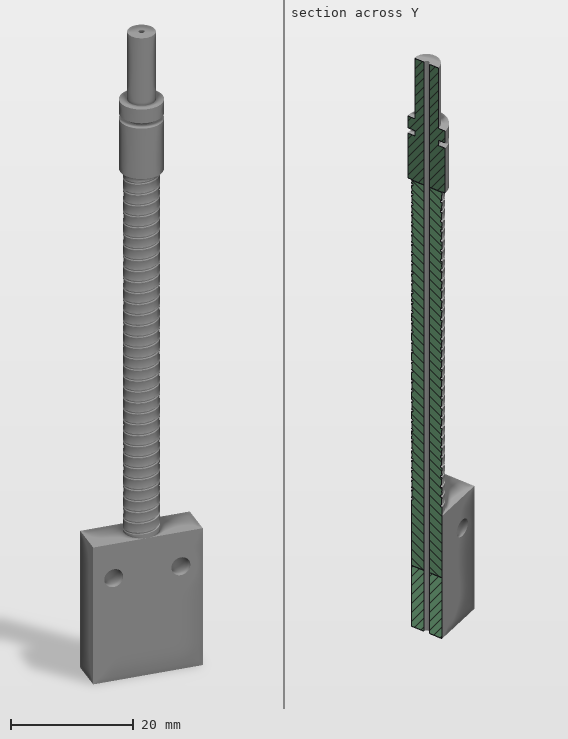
import cadquery as cq
bore_diameter = 1.02

block_thickness = 6.1
block_width = 19.05
block_height = 25.4
mount_hole_diameter = 3.3
mount_hole_spacing = 11.68
mount_hole_drop = 6.35
mount_hole_shift = -0.12

hose_diameter = 6.096
hose_insertion = 12.7
groove_pitch = 2.032
groove_width = 0.35
groove_depth = 0.3
crest_land = 0.03
lower_rim_recess = 0.01
valley_depth = 0.05
cutter_overhang = 0.01

ferrule_length = 25.4
ferrule_diameter = 7.37
stem_diameter = 4.7
stem_length = 12.5
collar_length = 2.54
neck_length = 1.0

overall_height = 117.84
hose_bottom = block_height - hose_insertion
hose_top = overall_height - ferrule_length


def rod(diameter, bottom, top):
    """Cylinder on the Z axis between two heights."""
    return cq.Workplane("XY").workplane(offset=bottom).circle(diameter / 2).extrude(top - bottom)


def make_block():
    """Plate with a blind socket for the hose, the through bore and two cross holes."""
    block = cq.Workplane("XY").box(
        block_thickness, block_width, block_height, centered=(True, True, False)
    )
    block = block.cut(rod(hose_diameter, hose_bottom, block_height))
    block = block.cut(rod(bore_diameter, 0, hose_bottom))
    hole_height = block_height - mount_hole_drop
    hole_centers = [
        (mount_hole_shift + side * mount_hole_spacing / 2, hole_height) for side in (-1, 1)
    ]
    mount_holes = (
        cq.Workplane("YZ")
        .pushPoints(hole_centers)
        .circle(mount_hole_diameter / 2)
        .extrude(block_thickness, both=True)
    )
    return block.cut(mount_holes)


def make_hose_cutter():
    """Right-handed helical cutter that forms the gap between turns and the hollow face of each turn.

    Profile points are (radial, axial) distances from the hose surface at the middle of the gap.
    The helix starts level with the top of the block, on the -X side.
    """
    hose_radius = hose_diameter / 2
    gap_bottom = -groove_width / 2
    gap_top = groove_width / 2
    turn_top = gap_bottom + groove_pitch - crest_land
    turn_middle = (gap_top + turn_top) / 2
    helix = cq.Wire.makeHelix(
        groove_pitch, hose_top - block_height, hose_radius, center=cq.Vector(0, 0, block_height)
    )
    cutter = (
        cq.Workplane("XZ")
        .center(hose_radius, block_height)
        .moveTo(cutter_overhang, gap_bottom)
        .lineTo(-groove_depth, gap_bottom)
        .lineTo(-groove_depth, gap_top)
        .lineTo(-lower_rim_recess, gap_top)
        .threePointArc((-valley_depth, turn_middle), (cutter_overhang, turn_top))
        .close()
        .sweep(cq.Workplane(helix), isFrenet=True)
    )
    return cutter.rotate((0, 0, 0), (0, 0, 1), 180)


def make_hose():
    """Hose seated in the block at its lower end and butted against the ferrule at its top."""
    hose = rod(hose_diameter, hose_bottom, hose_top)
    hose = hose.cut(make_hose_cutter())
    return hose.cut(rod(bore_diameter, hose_bottom, hose_top))


def make_ferrule():
    """Stem with a sleeve at the bottom and a collar above a short neck."""
    collar_top = overall_height - stem_length
    collar_bottom = collar_top - collar_length
    sleeve_top = collar_bottom - neck_length
    ferrule = rod(stem_diameter, hose_top, overall_height)
    ferrule = ferrule.union(rod(ferrule_diameter, hose_top, sleeve_top))
    ferrule = ferrule.union(rod(ferrule_diameter, collar_bottom, collar_top))
    return ferrule.cut(rod(bore_diameter, hose_top, overall_height))


block = make_block()
hose = make_hose()
ferrule = make_ferrule()

result = cq.Compound.makeCompound([block.val(), hose.val(), ferrule.val()])